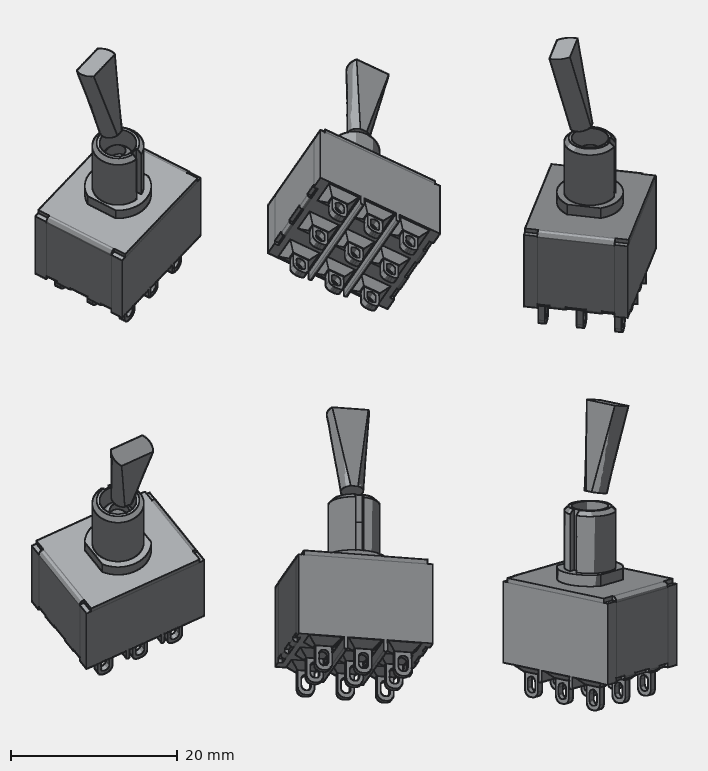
import cadquery as cq
import math


case_length_x = 12.7
case_width_y = 16.5
case_bottom_z = -10.58
sheet_thickness = 0.55
cover_bend_radius = 0.65
core_width_y = case_width_y - 2 * sheet_thickness
flange_width_x = 9.47
flange_bottom_z = case_bottom_z + sheet_thickness
tab_center_x = 2.22
tab_width_x = 1.95
tab_bend_radius = 0.43

collar_diameter = 7.95
collar_across_flats = 6.85
collar_height = 1.4
bushing_diameter = 6.2
bushing_top_z = 8.95
bushing_chamfer = 0.55
bore_diameter = 4.4
keyway_width = 0.97
keyway_floor_radius = 2.33

ball_center_z = 5.52
ball_diameter = 4.27
socket_radius = 1.22
socket_depth = 1.45
socket_tip_angle = 140.0

terminal_pitch_x = 4.7
terminal_pitch_y = 4.88
terminal_thickness = 0.83
terminal_width = 2.05
terminal_tip_z = -14.53
terminal_corner_radius = 0.85
eyelet_width = 1.2
eyelet_top_z = -11.98
eyelet_bottom_z = -13.95
root_height = 0.95
root_bottom_x = 1.0
root_bottom_y = 2.22
fin_thickness = 0.45
fin_bottom_z = -12.1

lever_tilt = 11.8
lever_start = 5.1
lever_end = 15.9
lever_start_diameter = 2.73
lever_end_diameter = 5.13
lever_thickness = 2.6


def box_between_z(length_x, width_y, bottom_z, top_z):
    """Box centered on the Z axis."""
    return (
        cq.Workplane("XY", origin=(0, 0, bottom_z))
        .rect(length_x, width_y)
        .extrude(top_z - bottom_z)
    )


def make_case():
    """Case block with a recess in both Y sides for the flanges of the cover."""
    block = box_between_z(case_length_x, case_width_y, case_bottom_z, -sheet_thickness)
    middle = box_between_z(flange_width_x, case_width_y, case_bottom_z, -sheet_thickness)
    core = box_between_z(flange_width_x, core_width_y, case_bottom_z, -sheet_thickness)
    return block.cut(middle.cut(core))


def make_cover():
    """Top plate, with a flange and two bent tabs down each Y side."""
    plate_width = case_width_y - 2 * cover_bend_radius
    plate = box_between_z(case_length_x, plate_width, -sheet_thickness, 0)
    bracket = box_between_z(flange_width_x, case_width_y, flange_bottom_z, 0)
    bracket = bracket.edges("|X and >Z").fillet(cover_bend_radius)
    inside = box_between_z(flange_width_x, core_width_y, flange_bottom_z, -sheet_thickness)
    cover = bracket.cut(inside).union(plate)
    tab_core = box_between_z(tab_width_x, core_width_y, case_bottom_z, flange_bottom_z)
    tab_pair = box_between_z(tab_width_x, case_width_y, case_bottom_z, flange_bottom_z)
    tab_pair = tab_pair.edges("|X and <Z").fillet(tab_bend_radius).cut(tab_core)
    for x in (-tab_center_x, tab_center_x):
        cover = cover.union(tab_pair.translate((x, 0, 0)))
    return cover


def make_bushing():
    """Collar with two flats, and a bushing with a keyway on +X and the pivot ball in its bore."""
    collar = cq.Workplane("XY").circle(collar_diameter / 2).extrude(collar_height)
    collar = collar.intersect(box_between_z(collar_diameter, collar_across_flats, 0, collar_height))

    tube = (
        cq.Workplane("XY")
        .circle(bushing_diameter / 2)
        .extrude(bushing_top_z)
        .faces(">Z")
        .chamfer(bushing_chamfer)
    )
    bore = (
        cq.Workplane("XY", origin=(0, 0, ball_center_z))
        .circle(bore_diameter / 2)
        .extrude(bushing_top_z - ball_center_z)
    )
    ball = cq.Workplane("XY", origin=(0, 0, ball_center_z)).sphere(ball_diameter / 2)
    keyway = cq.Workplane("XY", origin=(0, 0, collar_height)).box(
        bushing_diameter,
        keyway_width,
        bushing_top_z - collar_height,
        centered=(False, True, False),
    )
    keyway = keyway.translate((keyway_floor_radius, 0, 0))
    return tube.cut(bore.cut(ball)).cut(keyway).cut(make_socket()).union(collar)


def make_socket():
    """Cutter for the drilled socket on the lever axis; its depth is counted from the rim."""
    rim_height = math.sqrt((ball_diameter / 2) ** 2 - socket_radius**2)
    floor_z = ball_center_z + rim_height - socket_depth
    tip_length = socket_radius / math.tan(math.radians(socket_tip_angle / 2))
    ball_top_z = ball_center_z + ball_diameter / 2
    drill = (
        cq.Workplane("XZ")
        .moveTo(0, floor_z - tip_length)
        .lineTo(socket_radius, floor_z)
        .lineTo(socket_radius, ball_top_z)
        .lineTo(0, ball_top_z)
        .close()
        .revolve(360, (0, 0, 0), (0, 1, 0))
    )
    return tilt(drill)


def make_terminal():
    """Solder terminal with an eyelet, hanging from a tapered root."""
    blade = (
        box_between_z(terminal_thickness, terminal_width, terminal_tip_z, case_bottom_z)
        .edges("|X and <Z")
        .fillet(terminal_corner_radius)
    )
    eyelet_center_z = (eyelet_top_z + eyelet_bottom_z) / 2
    eyelet = (
        cq.Workplane("YZ", origin=(0, 0, eyelet_center_z))
        .slot2D(eyelet_top_z - eyelet_bottom_z, eyelet_width, 90)
        .extrude(terminal_thickness, both=True)
    )
    root = (
        cq.Workplane("XY", origin=(0, 0, case_bottom_z - root_height))
        .rect(root_bottom_x, root_bottom_y)
        .workplane(offset=root_height)
        .rect(root_bottom_x + 2 * root_height, root_bottom_y + 2 * root_height)
        .loft()
    )
    return blade.cut(eyelet).union(root)


def make_fin():
    """Barrier fin along the whole case, with a rounded lower edge."""
    tip_center_z = fin_bottom_z + fin_thickness / 2
    plate = box_between_z(case_length_x, fin_thickness, tip_center_z, case_bottom_z)
    tip = (
        cq.Workplane("YZ", origin=(-case_length_x / 2, 0, tip_center_z))
        .circle(fin_thickness / 2)
        .extrude(case_length_x)
    )
    return plate.union(tip)


def make_housing():
    """Everything but the lever; the cover keeps its outline where it lies flush with the case."""
    housing = make_case().union(make_bushing())
    for row in (-0.5, 0.5):
        housing = housing.union(make_fin().translate((0, row * terminal_pitch_y, 0)))
    for column in (-1, 0, 1):
        for row in (-1, 0, 1):
            place = (column * terminal_pitch_x, row * terminal_pitch_y, 0)
            housing = housing.union(make_terminal().translate(place))
    return housing.union(make_cover(), clean=False)


def tilt(shape):
    """Tilt an upright shape toward -X about the ball center."""
    return shape.rotate((0, 0, ball_center_z), (0, 1, ball_center_z), -lever_tilt)


def draw_lever_section(plane, radius):
    """Circle cut by the two flats of the lever, added to a workplane."""
    flat_x = lever_thickness / 2
    flat_end_y = math.sqrt(radius**2 - flat_x**2)
    return (
        plane.moveTo(-flat_x, -flat_end_y)
        .threePointArc((0, -radius), (flat_x, -flat_end_y))
        .lineTo(flat_x, flat_end_y)
        .threePointArc((0, radius), (-flat_x, flat_end_y))
        .close()
    )


def make_lever():
    """Paddle that widens toward its end, with flats facing -X and +X before it is tilted."""
    start_plane = cq.Workplane("XY", origin=(0, 0, ball_center_z + lever_start))
    start_section = draw_lever_section(start_plane, lever_start_diameter / 2)
    end_plane = start_section.workplane(offset=lever_end - lever_start)
    return tilt(draw_lever_section(end_plane, lever_end_diameter / 2).loft(ruled=True))


housing = make_housing()
lever = make_lever()
result = cq.Compound.makeCompound([*housing.solids().vals(), *lever.solids().vals()])